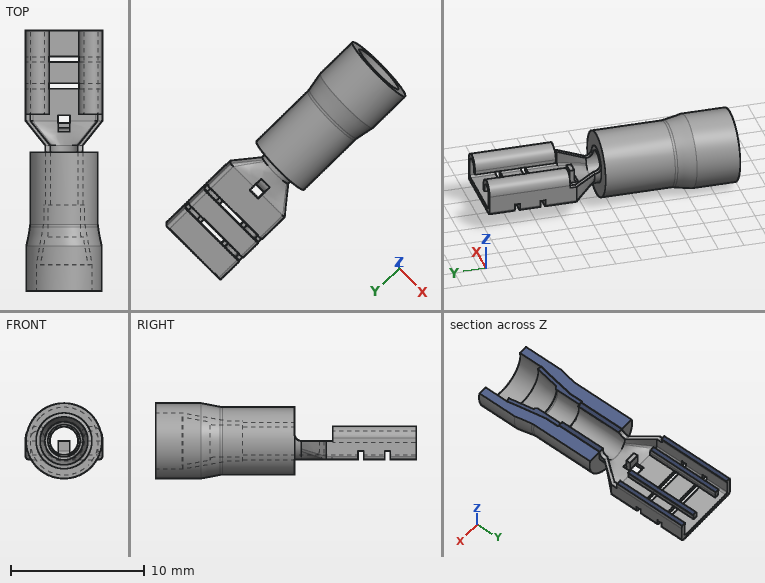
import cadquery as cq
import math


sheet = 0.36
barrel_radius = 1.41
barrel_bore_radius = barrel_radius - sheet
floor_bottom = -barrel_radius
floor_top = floor_bottom + sheet

entry_length = 3.40
neck_start = 4.92
housing_length = 10.43
half_pipe_end = 10.94
trough_start = 12.79
curl_start = 13.29
overall_length = 19.57

entry_radius = 2.84
neck_radius = 2.55
neck_blend_radius = 1.0

ferrule_bore_radius = 1.21
ferrule_wall = 0.30
flare_mouth_radius = 1.80
flare_angle = math.radians(10)
flare_mouth_y = 1.98
throat_radius = 1.43
ferrule_end = 6.50

receptacle_half_width = 2.89
outer_bend_radius = 0.26
inner_bend_radius = 0.17
curl_radius = 0.89
curl_inner_radius = curl_radius - sheet
curl_center_x = receptacle_half_width - curl_radius
curl_center_z = 0.22
curl_lip_bottom = -0.1
pipe_cutaway_radius = half_pipe_end - housing_length

slot_width = 0.40
slot_top = -0.77
slot_starts = (15.20, 17.20)

tab_half_width = 0.45
tab_root = 11.97
tab_bend_radius = 0.30
tab_top = 0.0
tab_window_end = 13.20


flare_slope = math.tan(flare_angle)
flare_rim = (
    flare_mouth_radius + ferrule_wall * math.cos(flare_angle),
    flare_mouth_y + ferrule_wall * math.sin(flare_angle),
)
ferrule_outer_radius = ferrule_bore_radius + ferrule_wall
flare_root = (
    ferrule_outer_radius,
    flare_rim[1] + (flare_rim[0] - ferrule_outer_radius) / flare_slope,
)
throat_round_radius = throat_radius - ferrule_bore_radius
throat_y = flare_mouth_y + (flare_mouth_radius - throat_radius) / flare_slope
throat_diagonal = throat_round_radius * math.sin(math.pi / 4)


def half_section():
    """Plane of the turned profiles: radius along Z, then the station along Y."""
    return cq.Workplane(cq.Plane((0, 0, 0), (0, 0, 1), (-1, 0, 0)))


def revolve_about_y(profile):
    return profile.close().revolve(360, (0, 0, 0), (0, 1, 0))


def make_ferrule():
    profile = (
        half_section()
        .moveTo(ferrule_bore_radius, ferrule_end)
        .lineTo(ferrule_outer_radius, ferrule_end)
        .lineTo(*flare_root)
        .lineTo(*flare_rim)
        .lineTo(flare_mouth_radius, flare_mouth_y)
        .lineTo(throat_radius, throat_y)
        .threePointArc(
            (throat_radius - throat_diagonal, throat_y + throat_round_radius - throat_diagonal),
            (ferrule_bore_radius, throat_y + throat_round_radius),
        )
    )
    return revolve_about_y(profile)


def make_housing():
    taper_angle = math.atan2(entry_radius - neck_radius, neck_start - entry_length)
    blend_length = neck_blend_radius * math.tan(taper_angle / 2)
    blend_center_radius = neck_radius + neck_blend_radius
    blend_center_y = neck_start + blend_length

    def blend_point(angle):
        return (
            blend_center_radius - neck_blend_radius * math.cos(angle),
            blend_center_y - neck_blend_radius * math.sin(angle),
        )

    profile = (
        half_section()
        .moveTo(barrel_radius, housing_length)
        .lineTo(barrel_radius, ferrule_end)
        .lineTo(ferrule_outer_radius, ferrule_end)
        .lineTo(*flare_root)
        .lineTo(*flare_rim)
        .lineTo(flare_rim[0], 0)
        .lineTo(entry_radius, 0)
        .lineTo(entry_radius, entry_length)
        .lineTo(*blend_point(taper_angle))
        .threePointArc(blend_point(taper_angle / 2), blend_point(0))
        .lineTo(neck_radius, housing_length)
    )
    return revolve_about_y(profile)


def section_plane(y):
    """XZ section plane at a station along Y, extruding towards +Y."""
    return cq.Workplane(cq.Plane((0, y, 0), (-1, 0, 0), (0, 1, 0)))


def box(half_width, y_range, z_range):
    return cq.Workplane("XY").box(
        2 * half_width, y_range[1] - y_range[0], z_range[1] - z_range[0], centered=(True, False, False)
    ).translate((0, y_range[0], z_range[0]))


def make_barrel():
    barrel = revolve_about_y(
        half_section()
        .moveTo(barrel_bore_radius, ferrule_end)
        .lineTo(barrel_radius, ferrule_end)
        .lineTo(barrel_radius, half_pipe_end)
        .lineTo(barrel_bore_radius, half_pipe_end)
    )
    cutaway_size = 2 * barrel_radius
    diagonal = pipe_cutaway_radius * math.sin(math.pi / 4)
    cutaway = (
        cq.Workplane("YZ")
        .moveTo(half_pipe_end, 0)
        .threePointArc(
            (half_pipe_end - diagonal, pipe_cutaway_radius - diagonal),
            (housing_length, pipe_cutaway_radius),
        )
        .lineTo(housing_length, cutaway_size)
        .lineTo(half_pipe_end + cutaway_size, cutaway_size)
        .lineTo(half_pipe_end + cutaway_size, 0)
        .close()
        .extrude(cutaway_size, both=True)
    )
    return barrel.cut(cutaway)


def u_wire(y, half_width, bottom, bend_radius):
    """Closed U section below Z = 0 with rounded bottom corners."""
    diagonal = bend_radius * (1 - math.cos(math.pi / 4))
    corner_x = half_width - bend_radius
    corner_z = bottom + bend_radius
    return (
        section_plane(y)
        .moveTo(half_width, 0)
        .lineTo(half_width, corner_z)
        .threePointArc((half_width - diagonal, bottom + diagonal), (corner_x, bottom))
        .lineTo(-corner_x, bottom)
        .threePointArc((diagonal - half_width, bottom + diagonal), (-half_width, corner_z))
        .lineTo(-half_width, 0)
        .close()
        .val()
    )


def half_circle_wire(y, radius, split_angles):
    """Closed half disc below Z = 0, its arc split at the given angles."""

    def rim(angle):
        return (radius * math.cos(angle), -radius * math.sin(angle))

    outline = section_plane(y).moveTo(*rim(0))
    for start, end in zip(split_angles, split_angles[1:]):
        outline = outline.threePointArc(rim((start + end) / 2), rim(end))
    return outline.close().val()


def trough_fill(radius, half_width, bottom, bend_radius):
    """Loft from the half pipe to the U section, the arc shared out in proportion to the U outline."""
    side = -bottom - bend_radius
    bend = bend_radius * math.pi / 2
    floor = 2 * (half_width - bend_radius)
    angle_per_length = math.pi / (2 * side + 2 * bend + floor)
    wall_angle = side * angle_per_length
    floor_angle = (side + bend) * angle_per_length
    split_angles = (0, wall_angle, floor_angle, math.pi - floor_angle, math.pi - wall_angle, math.pi)
    small_end = half_circle_wire(half_pipe_end, radius, split_angles)
    large_end = u_wire(trough_start, half_width, bottom, bend_radius)
    return cq.Workplane(cq.Solid.makeLoft([small_end, large_end], True))


def make_trough():
    outside = trough_fill(barrel_radius, receptacle_half_width, floor_bottom, outer_bend_radius)
    inside = trough_fill(
        barrel_bore_radius, receptacle_half_width - sheet, floor_top, inner_bend_radius
    )
    return outside.cut(inside)


def channel_fill(half_width, bottom, bend_radius):
    section = u_wire(trough_start, half_width, bottom, bend_radius)
    length = overall_length - trough_start
    return cq.Workplane(cq.Solid.extrudeLinear(section, [], cq.Vector(0, length, 0)))


def make_channel():
    """Floor and side walls, running from the trough to the open end."""
    outside = channel_fill(receptacle_half_width, floor_bottom, outer_bend_radius)
    inside = channel_fill(receptacle_half_width - sheet, floor_top, inner_bend_radius)
    return outside.cut(inside)


def make_curl():
    """Rolled edge along one side, from the wall top over to a short inner lip."""
    outer_x = curl_center_x + curl_radius
    inner_x = curl_center_x - curl_radius
    return (
        section_plane(curl_start)
        .moveTo(outer_x, 0)
        .lineTo(outer_x, curl_center_z)
        .threePointArc((curl_center_x, curl_center_z + curl_radius), (inner_x, curl_center_z))
        .lineTo(inner_x, curl_lip_bottom)
        .lineTo(inner_x + sheet, curl_lip_bottom)
        .lineTo(inner_x + sheet, curl_center_z)
        .threePointArc((curl_center_x, curl_center_z + curl_inner_radius), (outer_x - sheet, curl_center_z))
        .lineTo(outer_x - sheet, 0)
        .close()
        .extrude(overall_length - curl_start)
    )


def make_tab():
    """Upright tab on a rounded bend at the rear edge of its window."""
    front = tab_root + tab_bend_radius
    back = front + sheet
    bend_z = floor_top + tab_bend_radius
    outer_bend = tab_bend_radius + sheet
    diagonal = math.sin(math.pi / 4)
    return (
        cq.Workplane("YZ")
        .moveTo(tab_root, floor_bottom)
        .threePointArc(
            (tab_root + outer_bend * diagonal, bend_z - outer_bend * diagonal),
            (back, bend_z),
        )
        .lineTo(back, tab_top)
        .lineTo(front, tab_top)
        .lineTo(front, bend_z)
        .threePointArc(
            (tab_root + tab_bend_radius * diagonal, bend_z - tab_bend_radius * diagonal),
            (tab_root, floor_top),
        )
        .close()
        .extrude(tab_half_width, both=True)
    )


def make_terminal():
    curl = make_curl()
    body = make_channel().union(curl).union(curl.mirror("YZ"))
    body = body.union(make_trough()).union(make_barrel())
    for start in slot_starts:
        body = body.cut(box(receptacle_half_width, (start, start + slot_width), (floor_bottom, slot_top)))
    body = body.cut(box(tab_half_width, (tab_root, tab_window_end), (floor_bottom, tab_top)))
    return body.union(make_tab())


housing = make_housing()
ferrule = make_ferrule()
terminal = make_terminal()
result = cq.Compound.makeCompound([housing.val(), ferrule.val(), terminal.val()])